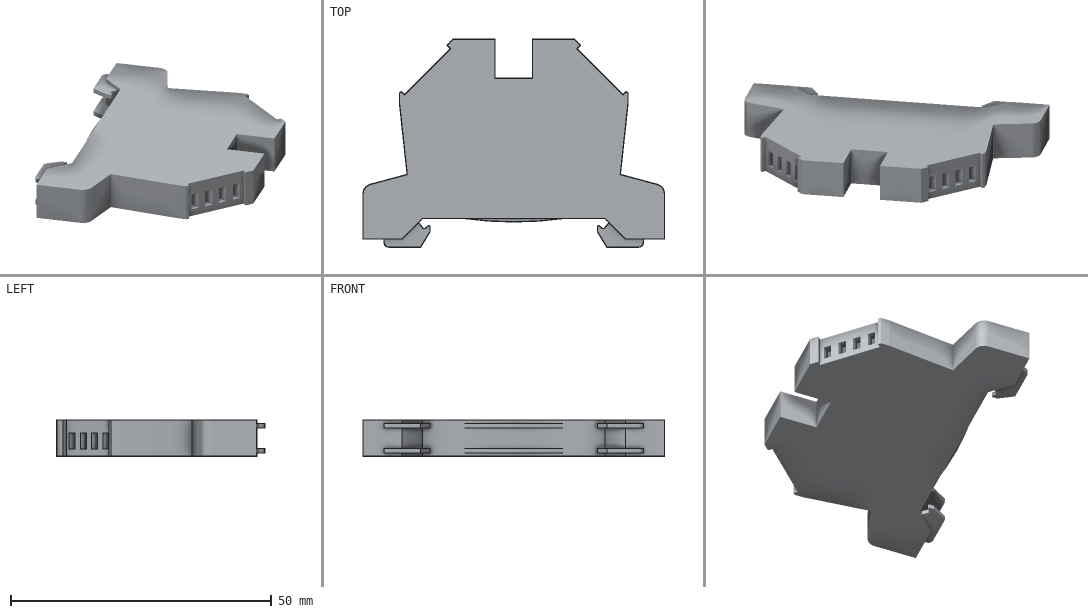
import cadquery as cq
import math

thickness = 7.0
half_length = 29.0
overall_height = 40.0
foot_bottom = 1.55
rail_seat_height = 5.5
rail_half_width = 17.55
rail_flank_run = rail_seat_height - foot_bottom
rail_flank_foot = rail_half_width + rail_flank_run

waist_half_width = 20.5
waist_height = 14.0
arm_slope_angle = 15.0
arm_corner_radius = 2.0
arm_tip_height = waist_height - (half_length - waist_half_width) * math.tan(math.radians(arm_slope_angle))

shoulder_half_width = 22.0
shoulder_height = 27.85
nib_outer_height = 29.55
nib_tip = (21.6, 29.95)

slope_bottom = (21.0, 29.35)
slope_height = 8.8
slope_top = (slope_bottom[0] - slope_height, slope_bottom[1] + slope_height)
hook_size = 0.65
hook_tip = (slope_top[0] + hook_size, slope_top[1] + hook_size)
crown_half_width = hook_tip[0] - (overall_height - hook_tip[1])

crown_slot_width = 7.2
crown_slot_depth = 7.5

pocket_count = 4
pocket_pitch = 3.06
pocket_first_offset = 0.75
pocket_width = 1.55
pocket_depth = 1.5
pocket_taper_angle = 15.0
pocket_taper_depth = 0.8
pocket_taper_run = pocket_taper_depth * math.tan(math.radians(pocket_taper_angle))
pocket_z_min = 1.4
pocket_z_max = 4.5

rib_thickness = 0.9
rib_inset = 0.65
rib_bases = (rib_inset, thickness - rib_inset - rib_thickness)
rib_overlap = 1.0

clip_outer = 24.95
clip_outer_radius = 1.0
clip_root_depth = 0.75
clip_root = (rail_half_width + clip_root_depth, rail_seat_height - clip_root_depth)
clip_notch = ((17.4, 3.65), (17.0, 3.65))
clip_lip = ((16.35, 4.2), (16.05, 4.05), (16.05, 3.0))
clip_heel = 17.9

pad_half_length = 9.4
pad_bow = 0.65


def both_sides(solid):
    return solid.union(solid.mirror("YZ"))


def make_body():
    half = (
        cq.Workplane("XY")
        .polyline([
            (0, rail_seat_height),
            (rail_half_width, rail_seat_height),
            (rail_flank_foot, foot_bottom),
            (half_length, foot_bottom),
            (half_length, arm_tip_height),
            (waist_half_width, waist_height),
            (shoulder_half_width, shoulder_height),
            (shoulder_half_width, nib_outer_height),
            nib_tip,
            slope_bottom,
            slope_top,
            hook_tip,
            (crown_half_width, overall_height),
            (0, overall_height),
        ])
        .close()
        .extrude(thickness)
    )
    arm_corner = cq.selectors.NearestToPointSelector((half_length, arm_tip_height, thickness / 2))
    return both_sides(half.edges(arm_corner).fillet(arm_corner_radius))


def make_crown_slot():
    return (
        cq.Workplane("XY")
        .center(0, overall_height - crown_slot_depth / 2)
        .rect(crown_slot_width, crown_slot_depth)
        .extrude(thickness)
    )


def make_pockets():
    slope_plane = cq.Plane(
        origin=(slope_top[0], slope_top[1], pocket_z_min),
        xDir=(1, -1, 0),
        normal=(0, 0, 1),
    )
    pockets = cq.Workplane("XY")
    for index in range(pocket_count):
        start = pocket_first_offset + index * pocket_pitch
        end = start + pocket_width
        pocket = (
            cq.Workplane(slope_plane)
            .polyline([
                (start, 0),
                (start + pocket_taper_run, -pocket_taper_depth),
                (start + pocket_taper_run, -pocket_depth),
                (end, -pocket_depth),
                (end, 0),
            ])
            .close()
            .extrude(pocket_z_max - pocket_z_min)
        )
        pockets = pockets.union(pocket)
    return both_sides(pockets)


def make_clips(base):
    clip = (
        cq.Workplane("XY", origin=(0, 0, base))
        .polyline([
            clip_root,
            *clip_notch,
            *clip_lip,
            (clip_heel, 0),
            (clip_outer, 0),
            (clip_outer, foot_bottom + rib_overlap),
            (clip_root[0] + rib_overlap, clip_root[1]),
        ])
        .close()
        .extrude(rib_thickness)
    )
    outer_corner = cq.selectors.NearestToPointSelector((clip_outer, 0, base + rib_thickness / 2))
    return both_sides(clip.edges(outer_corner).fillet(clip_outer_radius))


def make_leaf_pad(base):
    return (
        cq.Workplane("XY", origin=(0, 0, base))
        .moveTo(-pad_half_length, rail_seat_height)
        .threePointArc((0, rail_seat_height - pad_bow), (pad_half_length, rail_seat_height))
        .line(0, rib_overlap)
        .line(-2 * pad_half_length, 0)
        .close()
        .extrude(rib_thickness)
    )


result = make_body().cut(make_crown_slot()).cut(make_pockets())
for rib_base in rib_bases:
    result = result.union(make_clips(rib_base)).union(make_leaf_pad(rib_base))